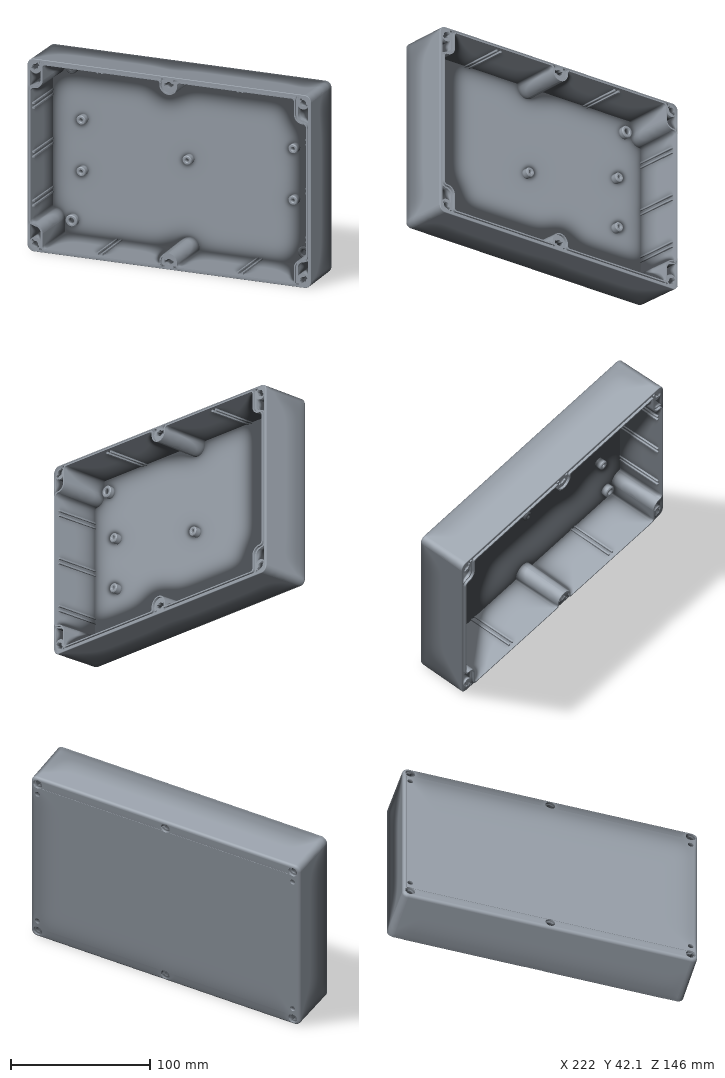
import cadquery as cq
import math

LENGTH = 222.0
HEIGHT = 146.0
DEPTH = 42.1
CORNER_RADIUS = 5.0
BACK_EDGE_RADIUS = 2.3
OUTER_DRAFT = 0.7
BACK_PANEL_RELIEF = 0.2
BACK_PANEL_LENGTH = 216.0
BACK_PANEL_HEIGHT = 128.0

RIM_EDGE_RADIUS = 0.45
LIP_HEIGHT = 1.7
LIP_THICKNESS = 1.0
LIP_INSET_X = 2.1
LIP_INSET_Z = 2.3
RIM_DEPTH = DEPTH - LIP_HEIGHT

FLOOR_THICKNESS = 3.0
CAVITY_DRAFT = 1.0
CAVITY_DEPTH = DEPTH - FLOOR_THICKNESS

SCREW_X = 105.0
SCREW_Z = 58.0
SCREW_HOLE_DIAMETER = 4.2
SLOT_Z = 67.0
SLOT_DIAMETER = 4.5
SLOT_LENGTH = 7.2
SLOT_WIDTH = 2.4
SLOT_COUNTERBORE_DIAMETER = 7.2
SLOT_COUNTERBORE_DEPTH = 2.0
CORNER_SLOT_ANGLE = -45.0

CORNER_COLUMN_RADIUS = 5.6
CORNER_SIDE_FILLET = 3.5
MID_COLUMN_RADIUS = 6.0
LIP_COLUMN_FILLET = 2.0
CAVITY_COLUMN_FILLET = 1.8

POCKET_RADIUS = 4.2
POCKET_SLOT_CLEARANCE = 4.9
POCKET_FLARE = 1.4
POCKET_DEPTH = RIM_DEPTH - FLOOR_THICKNESS

RECESS_WIDTH = 2.2
RECESS_HEIGHT = 1.6
RECESS_DEPTH = 1.0
RECESS_Z = 70.6
MID_RECESS_X = 4.7
CORNER_RECESS_X = 100.8

POST_CHAMFER = 0.6
LARGE_POST_X = 91.0
SMALL_POST_X = 83.0
SMALL_POST_Z = 19.5
LARGE_POST_DIAMETER = 9.0
LARGE_POST_HOLE = 4.0
LARGE_POST_HEIGHT = 4.5
SMALL_POST_DIAMETER = 7.2
SMALL_POST_HOLE = 2.4
SMALL_POST_HEIGHT = 5.4

RIB_SPACING = 3.6
RIB_WIDTH = 1.2
RIB_PROJECTION = 1.0
RIB_LENGTH = 36.0
LONG_WALL_RIB_X = 55.0
SHORT_WALL_RIB_Z = 37.0

LIP_HALF_LENGTH = LENGTH / 2 - LIP_INSET_X
LIP_HALF_HEIGHT = HEIGHT / 2 - LIP_INSET_Z
SIGNS = (-1, 1)
JOIN_TOLERANCE = 1e-6

DRAFT_SHRINK = CAVITY_DEPTH * math.tan(math.radians(CAVITY_DRAFT))
RIB_FACE_X = LIP_HALF_LENGTH - LIP_THICKNESS - DRAFT_SHRINK - RIB_PROJECTION
RIB_FACE_Z = LIP_HALF_HEIGHT - LIP_THICKNESS - DRAFT_SHRINK - RIB_PROJECTION
RIB_DEPTH = RIB_PROJECTION + DRAFT_SHRINK + LIP_THICKNESS


def plane(depth):
    """Sketch plane parallel to the back, `depth` in front of Y = 0; local axes are X, Z and -Y."""
    return cq.Workplane("XZ", origin=(0, -depth, 0))


def mirrored(shape):
    """Copies of a shape in all four quadrants, joined."""
    pair = shape.union(shape.mirror("YZ"))
    return pair.union(pair.mirror("XY"))


def outer_body():
    """Drafted block narrowing toward the back, with rounded corners, back edge and rim edge."""
    body = (
        plane(RIM_DEPTH)
        .sketch()
        .rect(LENGTH, HEIGHT)
        .vertices()
        .fillet(CORNER_RADIUS)
        .finalize()
        .extrude(BACK_PANEL_RELIEF - RIM_DEPTH, taper=OUTER_DRAFT)
    )
    body = body.faces(">Y").edges().fillet(BACK_EDGE_RADIUS)
    return body.faces("<Y").edges().fillet(RIM_EDGE_RADIUS)


def back_panel():
    """Shallow raised panel on the back face."""
    return plane(0).rect(BACK_PANEL_LENGTH, BACK_PANEL_HEIGHT).extrude(BACK_PANEL_RELIEF)


def arc(center, radius, start, end):
    """Arc segment (start, middle, end point) between two angles in degrees."""
    angles = [math.radians(a) for a in (start, (start + end) / 2, end)]
    return [(center[0] + radius * math.cos(a), center[1] + radius * math.sin(a)) for a in angles]


def lip_quarter(inset, column_fillet):
    """Arcs of the lip's outer line, moved inward by `inset`, in the +X, +Z quarter.

    They run from the +X side to the +Z side; straight stretches join them.
    """
    half_x = LIP_HALF_LENGTH - inset
    half_z = LIP_HALF_HEIGHT - inset
    corner_radius = CORNER_COLUMN_RADIUS + inset
    mid_radius = MID_COLUMN_RADIUS + inset
    side_fillet = CORNER_SIDE_FILLET - inset

    column_bottom = SCREW_Z - corner_radius
    column_side = SCREW_X - corner_radius
    fillet_z = half_z - column_fillet
    fillet_x = math.sqrt((mid_radius + column_fillet) ** 2 - (fillet_z - SLOT_Z) ** 2)
    touch_angle = math.degrees(math.atan2(fillet_z - SLOT_Z, fillet_x))
    return [
        arc((half_x - side_fillet, column_bottom - side_fillet), side_fillet, 0, 90),
        arc((SCREW_X, SCREW_Z), corner_radius, 270, 180),
        arc((column_side - column_fillet, fillet_z), column_fillet, 0, 90),
        arc((fillet_x, fillet_z), column_fillet, 90, 180 + touch_angle),
        arc((0, SLOT_Z), mid_radius, touch_angle, -90),
    ]


def lip_prism(inset, column_fillet, depth, length, taper=0.0):
    """Prism toward the back inside the lip's outer line moved inward by `inset`."""
    position = (LIP_HALF_LENGTH - inset, 0)
    outline = plane(depth).moveTo(*position)
    for sign_x, sign_z in ((1, 1), (-1, 1), (-1, -1), (1, -1)):
        arcs = lip_quarter(inset, column_fillet)
        if sign_x != sign_z:
            arcs = [points[::-1] for points in arcs[::-1]]
        for points in arcs:
            start, middle, end = [(sign_x * x, sign_z * z) for x, z in points]
            if math.dist(position, start) > JOIN_TOLERANCE:
                outline = outline.lineTo(*start)
            outline = outline.threePointArc(middle, end)
            position = end
    return outline.close().extrude(-length, taper=taper)


def lip():
    """Area inside the lip's outer line, raised above the rim; the cavity cut leaves only the lip."""
    return lip_prism(0, LIP_COLUMN_FILLET, DEPTH, LIP_HEIGHT)


def cavity():
    """Drafted inner space, flush with the inner side of the lip."""
    return lip_prism(LIP_THICKNESS, CAVITY_COLUMN_FILLET, DEPTH, CAVITY_DEPTH, CAVITY_DRAFT)


def cross_slot(x, z, angle):
    """Round hole crossed by a straight slot, through the full depth and counterbored from the back."""
    base = plane(0).center(x, z)
    column = base.circle(SLOT_DIAMETER / 2).extrude(DEPTH)
    slot = base.transformed(rotate=(0, 0, angle)).rect(SLOT_LENGTH, SLOT_WIDTH).extrude(DEPTH)
    counterbore = base.circle(SLOT_COUNTERBORE_DIAMETER / 2).extrude(SLOT_COUNTERBORE_DEPTH)
    return column.union(slot).union(counterbore)


def screw_hole():
    return plane(0).center(SCREW_X, SCREW_Z).circle(SCREW_HOLE_DIAMETER / 2).extrude(DEPTH)


def screw_pocket():
    """Cored pocket around a lid screw, kept clear of the corner slot beside it."""
    inner_x = SCREW_X - POCKET_RADIUS
    bottom = SCREW_Z - POCKET_RADIUS
    reach = math.sqrt(POCKET_SLOT_CLEARANCE**2 - POCKET_RADIUS**2)
    pocket_start, pocket_middle, pocket_end = arc((SCREW_X, SCREW_Z), POCKET_RADIUS, 180, 270)
    return (
        plane(RIM_DEPTH)
        .moveTo(*pocket_start)
        .threePointArc(pocket_middle, pocket_end)
        .lineTo(LIP_HALF_LENGTH, bottom - POCKET_FLARE)
        .lineTo(LIP_HALF_LENGTH, SLOT_Z - reach)
        .threePointArc((SCREW_X, SLOT_Z - POCKET_SLOT_CLEARANCE), (inner_x, SLOT_Z - reach))
        .close()
        .extrude(-POCKET_DEPTH, taper=CAVITY_DRAFT)
    )


def rim_recess(x):
    return plane(RIM_DEPTH).center(x, RECESS_Z).rect(RECESS_WIDTH, RECESS_HEIGHT).extrude(-RECESS_DEPTH)


def post(x, z, diameter, hole, height):
    """Hollow floor post with both rims of its end chamfered."""
    ring = plane(FLOOR_THICKNESS).center(x, z).circle(diameter / 2).circle(hole / 2).extrude(height)
    return ring.faces("<Y").edges().chamfer(POST_CHAMFER)


def rib_pairs():
    """Guide ribs running from the floor up each wall; the ends outside the cavity merge into the walls."""
    ribs = cq.Workplane()
    base = plane(FLOOR_THICKNESS)
    for side in SIGNS:
        for offset in (-RIB_SPACING / 2, RIB_SPACING / 2):
            for x in (-LONG_WALL_RIB_X, LONG_WALL_RIB_X):
                z = side * (RIB_FACE_Z + RIB_DEPTH / 2)
                ribs = ribs.add(base.center(x + offset, z).rect(RIB_WIDTH, RIB_DEPTH).extrude(RIB_LENGTH))
            for z in (-SHORT_WALL_RIB_Z, 0, SHORT_WALL_RIB_Z):
                x = side * (RIB_FACE_X + RIB_DEPTH / 2)
                ribs = ribs.add(base.center(x, z + offset).rect(RIB_DEPTH, RIB_WIDTH).extrude(RIB_LENGTH))
    return ribs.combine()


def corner_cuts():
    """Screw hole, its pocket, mounting slot and rim recess of all four corners."""
    cuts = screw_hole().union(screw_pocket())
    cuts = cuts.union(cross_slot(SCREW_X, SLOT_Z, CORNER_SLOT_ANGLE)).union(rim_recess(CORNER_RECESS_X))
    return mirrored(cuts)


def mid_column_cuts():
    """Mounting slot and rim recesses at the middle of both long sides."""
    return mirrored(cross_slot(0, SLOT_Z, 0).union(rim_recess(MID_RECESS_X)))


def posts():
    """Large posts level with the lid screws; small posts in two rows and at the center."""
    group = post(0, 0, SMALL_POST_DIAMETER, SMALL_POST_HOLE, SMALL_POST_HEIGHT)
    for side_x in SIGNS:
        for side_z in SIGNS:
            large = (side_x * LARGE_POST_X, side_z * SCREW_Z)
            small = (side_x * SMALL_POST_X, side_z * SMALL_POST_Z)
            group = group.add(post(*large, LARGE_POST_DIAMETER, LARGE_POST_HOLE, LARGE_POST_HEIGHT))
            group = group.add(post(*small, SMALL_POST_DIAMETER, SMALL_POST_HOLE, SMALL_POST_HEIGHT))
    return group.combine()


result = outer_body().union(back_panel()).union(lip()).cut(cavity())
result = result.union(rib_pairs()).union(posts())
result = result.cut(corner_cuts()).cut(mid_column_cuts())